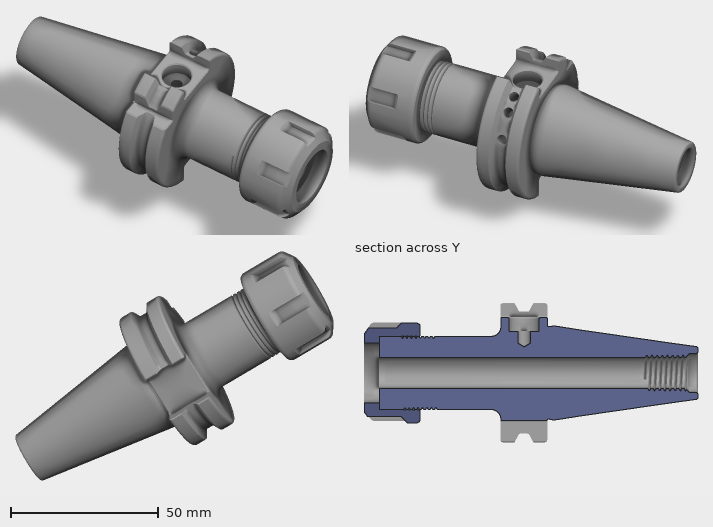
import cadquery as cq
import math


TAPER_LENGTH = 47.8
GAUGE_R = 31.75 / 2
TAPER_RATIO = 7 / 24
TAPER_END_R = GAUGE_R - TAPER_LENGTH * TAPER_RATIO / 2
TAPER_END_ROUND = 0.8

FLANGE_START = TAPER_LENGTH + 3.2
FLANGE_WIDTH = 15.9
FLANGE_END = FLANGE_START + FLANGE_WIDTH
FLANGE_R = 25.0
RIM_ROUND = 1.0
COLLAR_START = TAPER_LENGTH + 0.5
COLLAR_R = TAPER_END_R + COLLAR_START * TAPER_RATIO / 2
COLLAR_LENGTH = 1.0
COLLAR_RELIEF = 0.2

GROOVE_X = TAPER_LENGTH + 11.1
GROOVE_BOTTOM_R = 44.3 / 2
GROOVE_MOUTH = 6.5
GROOVE_HALF_ANGLE = 30.0
GROOVE_CORNER_R = 0.7

SLOT_WIDTH = 16.1
TOP_SLOT_FLOOR = 18.8
BOTTOM_SLOT_FLOOR = 16.2
SLOT_CORNER_R = 0.4
MOUTH_CHAMFER = 0.4
FLOOR_CHAMFER = 0.35

NOTCH_OFFSET = 15.0
NOTCH_CHAMFER = 0.55

POCKET_D = 10.0
POCKET_DEPTH = 4.7
POCKET_CHAMFER = 0.4
DRILL_D = 4.0
DRILL_DEPTH = 4.0
DRILL_HALF_ANGLE = 59.0

GROOVE_HOLE_D = 3.5
GROOVE_HOLE_DEPTH = 6.5
GROOVE_HOLE_ANGLES = (20, 45, 60)

NECK_R = 12.5
NECK_FILLET_R = 3.0
NOSE_END = 108.0

BORE_R = 5.1
COUNTERBORE_R = 6.5
COUNTERBORE_DEPTH = 3.0
MOUTH_ROUND = 1.0

NOSE_PITCH = 1.5
NOSE_THREAD_DEPTH = 0.75
NOSE_THREAD_START = 88.3
NOSE_THREAD_LENGTH = 12.0
NOSE_THREAD_ANGLE = 151.0
BORE_PITCH = 1.75
BORE_THREAD_DEPTH = 0.9
BORE_THREAD_LENGTH = 15.0
THREAD_HALF_ANGLE = 30.0
THREAD_OVERLAP = 0.1

NUT_R = 17.0
NUT_START = 94.1
NUT_END = 113.04
NUT_BACK_ROUND = 1.5
NUT_BACK_DROP = 0.8
NUT_ARC_START = NUT_START + 15.2
NUT_ARC_R = 2.1
NUT_CONE_ANGLE = 55.0
NUT_OPENING_R = 10.0
NUT_NOTCH_WIDTH = 5.4
NUT_NOTCH_FIRST_ANGLE = 22.5
NUT_NOTCH_COUNT = 6
SHALLOW_NOTCH = (15.1, NUT_START + 8.0)
DEEP_NOTCH = (14.7, NUT_START + 6.4)

CUT_MARGIN = 1.0
CHAMFER_REACH = 5


def tangent(angle):
    return math.tan(math.radians(angle))


def sine(angle):
    return math.sin(math.radians(angle))


def cosine(angle):
    return math.cos(math.radians(angle))


def revolve_about_x(profile):
    return profile.close().revolve(360, (0, 0, 0), (1, 0, 0))


def across_x(x):
    """Workplane at the given X with local axes along global Y and Z, extruding toward +X."""
    return cq.Workplane("YZ", origin=(x, 0, 0))


def thread_groove(radius, depth, pitch, start, length, angle):
    """Helical V groove; a positive depth cuts inward, a negative depth cuts outward."""
    side = math.copysign(1, depth)
    mouth_half = (abs(depth) + THREAD_OVERLAP) * tangent(THREAD_HALF_ANGLE)
    mouth_r = radius + side * THREAD_OVERLAP
    root_r = radius - depth
    helix = cq.Wire.makeHelix(pitch, length, radius)
    groove = (
        cq.Workplane("XZ")
        .polyline([
            (mouth_r, -mouth_half),
            (root_r, 0),
            (mouth_r, mouth_half),
        ])
        .close()
        .sweep(cq.Workplane(helix), isFrenet=True)
    )
    groove = groove.rotate((0, 0, 0), (0, 1, 0), 90)
    return groove.rotate((0, 0, 0), (1, 0, 0), angle + 90).translate((start, 0, 0))


def rim_chamfer(offset, side):
    """Chamfer line where a flat wall at the given offset from the axis meets the flange rim.

    Returns the start of the chamfer along the wall, then the along-wall and across-wall
    position of a point on the same line outside the rim. The material lies at larger
    offsets when side is +1 and at smaller offsets when side is -1.
    """
    rim = math.sqrt(FLANGE_R**2 - offset**2)
    start = rim - MOUTH_CHAMFER
    reach = CHAMFER_REACH * MOUTH_CHAMFER
    along = start + reach * (1 - side * offset / FLANGE_R)
    across = offset + reach * side * rim / FLANGE_R
    return start, along, across


def make_slot(floor):
    """Drive slot opening toward +Z with chamfered mouth edges and rounded floor corners."""
    half = SLOT_WIDTH / 2
    chamfer_z, flare_z, flare_half = rim_chamfer(half, 1)
    top_z = FLANGE_R + CUT_MARGIN
    slot = (
        across_x(FLANGE_START)
        .polyline([
            (-half, floor),
            (half, floor),
            (half, chamfer_z),
            (flare_half, flare_z),
            (flare_half, top_z),
            (-flare_half, top_z),
            (-flare_half, flare_z),
            (-half, chamfer_z),
        ])
        .close()
        .extrude(FLANGE_WIDTH)
        .edges("|X and <Z")
        .fillet(SLOT_CORNER_R)
    )
    return slot.union(floor_bevels(floor))


def bevel(y0, y1, floor, x, size):
    """45 degree wedge along Y that breaks the edge of a level floor at a flange face."""
    return (
        cq.Workplane("XZ", origin=(0, y1, 0))
        .polyline([(x - size, floor), (x, floor - size), (x + size, floor)])
        .close()
        .extrude(y1 - y0)
    )


def floor_bevels(floor):
    half = SLOT_WIDTH / 2 - SLOT_CORNER_R
    left = bevel(-half, half, floor, FLANGE_START, FLOOR_CHAMFER)
    right = bevel(-half, half, floor, FLANGE_END, FLOOR_CHAMFER)
    return left.union(right)


def make_notch():
    """Square corner notch with chamfered edges; the corner lies at Y = -offset, Z = +offset."""
    far = FLANGE_R + CUT_MARGIN
    chamfer_start, flare_along, flare_across = rim_chamfer(NOTCH_OFFSET, -1)
    notch = (
        across_x(FLANGE_START)
        .polyline([
            (-NOTCH_OFFSET, NOTCH_OFFSET),
            (-NOTCH_OFFSET, chamfer_start),
            (-flare_across, flare_along),
            (-far, far),
            (-flare_along, flare_across),
            (-chamfer_start, NOTCH_OFFSET),
        ])
        .close()
        .extrude(FLANGE_WIDTH)
    )
    for x, size in ((FLANGE_START, NOTCH_CHAMFER), (FLANGE_END, FLOOR_CHAMFER)):
        level = bevel(-far, -NOTCH_OFFSET, NOTCH_OFFSET, x, size)
        upright = level.rotate((0, 0, 0), (1, 0, 0), -90).mirror("XZ")
        notch = notch.union(level).union(upright)
    return notch


def make_gripper_groove():
    mouth_half = GROOVE_MOUTH / 2
    depth = FLANGE_R - GROOVE_BOTTOM_R
    slope = tangent(GROOVE_HALF_ANGLE)
    bottom_half = mouth_half - depth * slope
    outer_half = mouth_half + CUT_MARGIN * slope
    outer_r = FLANGE_R + CUT_MARGIN
    groove = revolve_about_x(
        cq.Workplane("XY").polyline([
            (GROOVE_X - bottom_half, GROOVE_BOTTOM_R),
            (GROOVE_X + bottom_half, GROOVE_BOTTOM_R),
            (GROOVE_X + outer_half, outer_r),
            (GROOVE_X - outer_half, outer_r),
        ])
    )
    inner_edges = cq.selectors.RadiusNthSelector(0)
    return groove.edges("%CIRCLE").edges(inner_edges).fillet(GROOVE_CORNER_R)


def make_groove_holes():
    holes = cq.Workplane()
    for angle in GROOVE_HOLE_ANGLES:
        hole = (
            cq.Workplane("XZ", origin=(GROOVE_X, GROOVE_BOTTOM_R - GROOVE_HOLE_DEPTH, 0))
            .circle(GROOVE_HOLE_D / 2)
            .extrude(-GROOVE_HOLE_DEPTH - CUT_MARGIN)
            .rotate((0, 0, 0), (1, 0, 0), angle)
        )
        holes = holes.add(hole)
    return holes.combine()


def make_flange():
    flange = across_x(FLANGE_START).circle(FLANGE_R).extrude(FLANGE_WIDTH)
    flange = flange.edges().fillet(RIM_ROUND)
    flange = flange.cut(make_gripper_groove())
    flange = flange.cut(make_slot(TOP_SLOT_FLOOR))
    flange = flange.cut(make_slot(BOTTOM_SLOT_FLOOR).rotate((0, 0, 0), (1, 0, 0), 180))
    flange = flange.cut(make_notch())
    return flange.cut(make_groove_holes())


def make_shaft():
    """Taper, collar, neck and nose as one turned shape."""
    collar_end = COLLAR_START + COLLAR_LENGTH
    neck_start = FLANGE_END + NECK_FILLET_R
    arc = NECK_FILLET_R * cosine(45)
    shaft = revolve_about_x(
        cq.Workplane("XY")
        .polyline([
            (0, 0),
            (0, TAPER_END_R),
            (COLLAR_START, COLLAR_R),
            (collar_end, COLLAR_R),
            (collar_end + COLLAR_LENGTH, COLLAR_R - COLLAR_RELIEF),
            (FLANGE_START, COLLAR_R - COLLAR_RELIEF),
            (FLANGE_END, NECK_R + NECK_FILLET_R),
        ])
        .threePointArc(
            (neck_start - arc, NECK_R + NECK_FILLET_R - arc),
            (neck_start, NECK_R),
        )
        .lineTo(NOSE_END, NECK_R)
        .lineTo(NOSE_END, 0)
    )
    return shaft.edges("<X").fillet(TAPER_END_ROUND)


def make_bore():
    cone_end = COUNTERBORE_DEPTH + COUNTERBORE_R - BORE_R
    arc = MOUTH_ROUND * (1 - cosine(45))
    return revolve_about_x(
        cq.Workplane("XY")
        .moveTo(0, 0)
        .lineTo(0, COUNTERBORE_R + MOUTH_ROUND)
        .threePointArc((arc, COUNTERBORE_R + arc), (MOUTH_ROUND, COUNTERBORE_R))
        .lineTo(COUNTERBORE_DEPTH, COUNTERBORE_R)
        .lineTo(cone_end, BORE_R)
        .lineTo(NOSE_END, BORE_R)
        .lineTo(NOSE_END, 0)
    )


def make_pocket():
    """Flat pocket in the top slot floor and the blind drilled hole with a conical bottom below it."""
    radius = POCKET_D / 2
    floor = TOP_SLOT_FLOOR - POCKET_DEPTH
    drill_r = DRILL_D / 2
    drill_bottom = floor - DRILL_DEPTH
    drill_tip = drill_bottom - drill_r / tangent(DRILL_HALF_ANGLE)
    return (
        cq.Workplane("XZ", origin=(GROOVE_X, 0, 0))
        .polyline([
            (0, drill_tip),
            (drill_r, drill_bottom),
            (drill_r, floor),
            (radius, floor),
            (radius, TOP_SLOT_FLOOR - POCKET_CHAMFER),
            (radius + POCKET_CHAMFER, TOP_SLOT_FLOOR),
            (0, TOP_SLOT_FLOOR),
        ])
        .close()
        .revolve(360, (0, 0, 0), (0, 1, 0))
    )


def make_holder():
    holder = make_shaft().union(make_flange())
    holder = holder.cut(make_bore()).cut(make_pocket())
    nose_thread = thread_groove(
        NECK_R, NOSE_THREAD_DEPTH, NOSE_PITCH, NOSE_THREAD_START, NOSE_THREAD_LENGTH, NOSE_THREAD_ANGLE
    )
    bore_thread = thread_groove(
        BORE_R, -BORE_THREAD_DEPTH, BORE_PITCH, COUNTERBORE_DEPTH, BORE_THREAD_LENGTH, 0
    )
    return holder.cut(nose_thread).cut(bore_thread)


def make_nut_blank():
    """Turned nut with a rounded back edge and a rounded, conical front edge."""
    back_arc_r = (NUT_BACK_ROUND**2 + NUT_BACK_DROP**2) / (2 * NUT_BACK_DROP)
    back_angle = math.degrees(math.asin(NUT_BACK_ROUND / back_arc_r)) / 2
    back_mid = (
        NUT_START + NUT_BACK_ROUND - back_arc_r * sine(back_angle),
        NUT_R - back_arc_r * (1 - cosine(back_angle)),
    )
    arc_end_x = NUT_ARC_START + NUT_ARC_R * sine(NUT_CONE_ANGLE)
    arc_end_r = NUT_R - NUT_ARC_R * (1 - cosine(NUT_CONE_ANGLE))
    half_angle = NUT_CONE_ANGLE / 2
    arc_mid = (
        NUT_ARC_START + NUT_ARC_R * sine(half_angle),
        NUT_R - NUT_ARC_R * (1 - cosine(half_angle)),
    )
    face_r = arc_end_r - (NUT_END - arc_end_x) * tangent(NUT_CONE_ANGLE)
    return revolve_about_x(
        cq.Workplane("XY")
        .moveTo(NUT_START, NECK_R)
        .lineTo(NUT_START, NUT_R - NUT_BACK_DROP)
        .threePointArc(back_mid, (NUT_START + NUT_BACK_ROUND, NUT_R))
        .lineTo(NUT_ARC_START, NUT_R)
        .threePointArc(arc_mid, (arc_end_x, arc_end_r))
        .lineTo(NUT_END, face_r)
        .lineTo(NUT_END, NUT_OPENING_R)
        .lineTo(NOSE_END, NUT_OPENING_R)
        .lineTo(NOSE_END, NECK_R)
    )


def make_nut_notch(floor, floor_start):
    """Wrench notch on the +Y side, open at the front and ramping out at 45 degrees at the back."""
    top = NUT_R + CUT_MARGIN
    return (
        cq.Workplane("XY", origin=(0, 0, -NUT_NOTCH_WIDTH / 2))
        .polyline([
            (floor_start, floor),
            (NUT_END, floor),
            (NUT_END, top),
            (floor_start - (top - floor), top),
        ])
        .close()
        .extrude(NUT_NOTCH_WIDTH)
    )


def make_nut():
    nut = make_nut_blank()
    for index in range(NUT_NOTCH_COUNT):
        angle = NUT_NOTCH_FIRST_ANGLE + index * 360 / NUT_NOTCH_COUNT
        floor, floor_start = SHALLOW_NOTCH if angle < 180 else DEEP_NOTCH
        notch = make_nut_notch(floor, floor_start).rotate((0, 0, 0), (1, 0, 0), angle)
        nut = nut.cut(notch)
    return nut


holder = make_holder()
nut = make_nut()
result = cq.Compound.makeCompound([holder.val(), nut.val()])